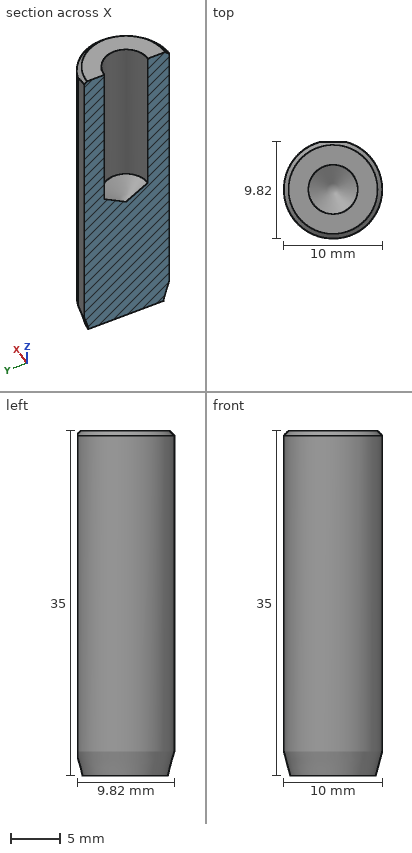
import cadquery as cq

length = 35.0
diameter = 10.0
flat_depth = 0.18
top_chamfer = 0.5
lead_length = 2.5
lead_end_diameter = 8.68
bore_diameter = 5.0
bore_depth = 17.5
drill_tip_depth = 1.5

radius = diameter / 2
bore_radius = bore_diameter / 2


def pin_body():
    """Turned pin with a tapered lower end and a chamfered upper end."""
    profile = (
        cq.Workplane("XZ")
        .moveTo(0, 0)
        .lineTo(lead_end_diameter / 2, 0)
        .lineTo(radius, lead_length)
        .lineTo(radius, length - top_chamfer)
        .lineTo(radius - top_chamfer, length)
        .lineTo(0, length)
        .close()
    )
    return profile.revolve(360, (0, 0, 0), (0, 1, 0))


def blind_bore():
    """Drilled hole from the upper end, with a conical bottom."""
    bore_bottom = length - bore_depth
    profile = (
        cq.Workplane("XZ")
        .moveTo(0, length)
        .lineTo(bore_radius, length)
        .lineTo(bore_radius, bore_bottom)
        .lineTo(0, bore_bottom - drill_tip_depth)
        .close()
    )
    return profile.revolve(360, (0, 0, 0), (0, 1, 0))


def vent_flat():
    """Shallow slice off the +Y side, over the full length."""
    return cq.Workplane("XY").box(diameter, flat_depth, length, centered=(True, False, False)).translate(
        (0, radius - flat_depth, 0)
    )


result = pin_body().cut(blind_bore()).cut(vent_flat())